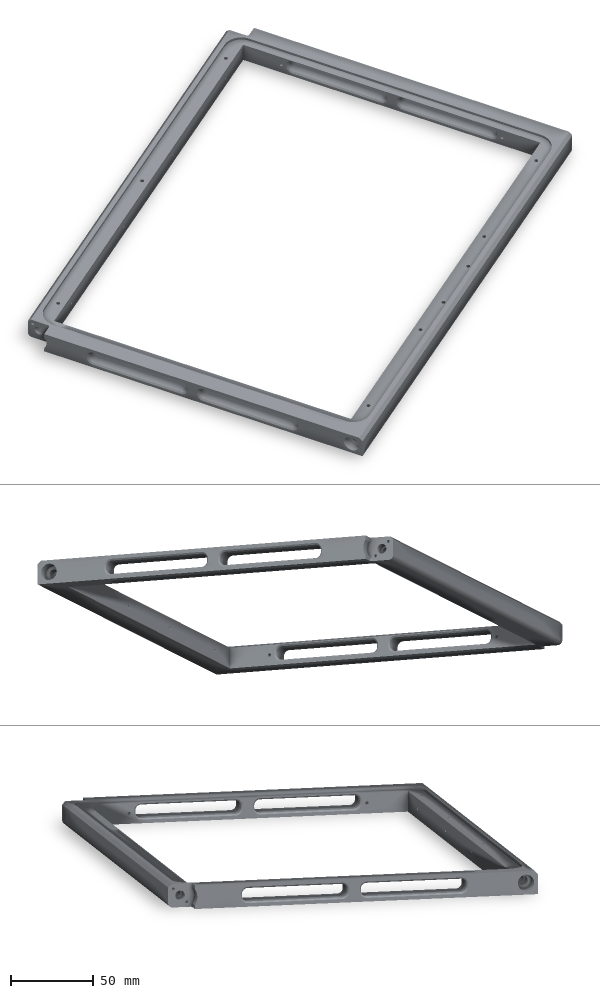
import cadquery as cq

FRAME_WIDTH = 229.0
FRAME_LENGTH = 297.0
FRAME_HEIGHT = 14.5
BAR_WIDTH = 14.5
UPPER_CHAMFER = 2.0
LOWER_FILLET = 3.0

HALF_WIDTH = FRAME_WIDTH / 2
HALF_LENGTH = FRAME_LENGTH / 2
HALF_HEIGHT = FRAME_HEIGHT / 2
SIDE_BAR_LENGTH = FRAME_LENGTH - 2 * BAR_WIDTH

RECESS_DEPTH = 1.8
RECESS_SIDE_MARGIN = 5.0
RECESS_END_MARGIN = 9.8
RECESS_CORNER_RADIUS = 11.3
RECESS_FLOOR_Z = HALF_HEIGHT - RECESS_DEPTH

SCREW_X = HALF_WIDTH - 7.5
CLEARANCE_DIAMETER = 6.0
COUNTERBORE_DIAMETER = 10.0
COUNTERBORE_DEPTH = 8.0
TAPPED_DIAMETER = 3.5
TAPPED_DEPTH = 14.8

NOTCH_LENGTH = 14.8
NOTCH_DEPTH = COUNTERBORE_DEPTH
NOTCH_CLEARANCE_RADIUS = 9.0
NOTCH_FILLET = 1.2
PIN_HOLE_DIAMETER = 1.8
PIN_HOLE_OFFSET = 4.2
PIN_HOLE_DEPTH = 3.0

SLOT_LENGTH = 66.0
SLOT_HEIGHT = 8.3
SLOT_CORNER_RADIUS = 3.5
SLOT_CHAMFER = 1.0
SLOT_CENTER_X = 37.0

TOP_HOLE_DEPTH = 9.0
TOP_HOLE_X = HALF_WIDTH - 10.0
TOP_HOLE_DIAMETER = 2.5
CORNER_HOLE_Y = 118.8
OUTER_PAIR_Y = 45.0
INNER_PAIR_Y = 17.5
INNER_PAIR_X = TOP_HOLE_X + 2.5

INNER_HOLE_DIAMETER = 2.0
INNER_HOLE_DEPTH = 3.0
INNER_HOLE_Z = -RECESS_DEPTH / 2
END_INNER_HOLE_X = 74.2
SIDE_INNER_HOLE_Y = (34.7, 109.0)


def cylinder(start, direction, diameter, depth):
    """Solid cylinder that starts at a point and runs along a direction."""
    solid = cq.Solid.makeCylinder(diameter / 2, depth, cq.Vector(*start), cq.Vector(*direction))
    return cq.Workplane(solid)


def recess():
    """Rounded rectangle, open at the top, that is cut from all four bars."""
    return (
        cq.Workplane("XY", origin=(0, 0, RECESS_FLOOR_Z))
        .rect(FRAME_WIDTH - 2 * RECESS_SIDE_MARGIN, FRAME_LENGTH - 2 * RECESS_END_MARGIN)
        .extrude(RECESS_DEPTH)
        .edges("|Z")
        .fillet(RECESS_CORNER_RADIUS)
    )


def end_notch():
    """Space cut from the outer half of the left end of the front end bar."""
    corner = (
        cq.Workplane("XY")
        .box(NOTCH_LENGTH, NOTCH_DEPTH, FRAME_HEIGHT, centered=(False, False, True))
        .translate((-HALF_WIDTH, -HALF_LENGTH, 0))
        .edges("|Z and >X and >Y")
        .fillet(NOTCH_FILLET)
    )
    screw_clearance = cylinder(
        (-SCREW_X, -HALF_LENGTH, 0), (0, 1, 0), 2 * NOTCH_CLEARANCE_RADIUS, NOTCH_DEPTH
    )
    return corner.union(screw_clearance)


def slot_layer(y, depth, growth, taper):
    """Rounded slot outline, larger by growth on all sides, extruded along Y with a taper."""
    outline = (
        cq.Sketch()
        .rect(SLOT_LENGTH + 2 * growth, SLOT_HEIGHT + 2 * growth)
        .vertices()
        .fillet(SLOT_CORNER_RADIUS + growth)
    )
    return cq.Workplane("XZ", origin=(0, y, 0)).placeSketch(outline).extrude(depth, taper=taper)


def slot():
    """Through slot of the front end bar with a 45 degree chamfer at each mouth."""
    outer_face = -HALF_LENGTH
    inner_face = outer_face + BAR_WIDTH
    opening = slot_layer(inner_face, BAR_WIDTH, 0, 0)
    outer_mouth = slot_layer(outer_face, -SLOT_CHAMFER, SLOT_CHAMFER, 45)
    inner_mouth = slot_layer(inner_face, SLOT_CHAMFER, SLOT_CHAMFER, 45)
    return opening.union(outer_mouth).union(inner_mouth)


def make_end_bar():
    """Front end bar; the back one is its mirror image."""
    outer_face = -HALF_LENGTH
    inner_face = outer_face + BAR_WIDTH
    bar = (
        cq.Workplane("XY")
        .box(FRAME_WIDTH, BAR_WIDTH, FRAME_HEIGHT)
        .translate((0, outer_face + BAR_WIDTH / 2, 0))
        .edges("|Y and >Z")
        .chamfer(UPPER_CHAMFER)
        .edges("|Y and <X and <Z")
        .fillet(LOWER_FILLET)
    )
    bar = bar.cut(end_notch()).cut(recess())

    for x in (-SCREW_X, SCREW_X):
        bar = bar.cut(cylinder((x, outer_face, 0), (0, 1, 0), CLEARANCE_DIAMETER, BAR_WIDTH))
    bar = bar.cut(cylinder((SCREW_X, outer_face, 0), (0, 1, 0), COUNTERBORE_DIAMETER, COUNTERBORE_DEPTH))

    for offset in (-PIN_HOLE_OFFSET, PIN_HOLE_OFFSET):
        pin_start = (-SCREW_X + offset, outer_face + NOTCH_DEPTH, -offset)
        bar = bar.cut(cylinder(pin_start, (0, 1, 0), PIN_HOLE_DIAMETER, PIN_HOLE_DEPTH))

    for side in (-1, 1):
        bar = bar.cut(slot().translate((side * SLOT_CENTER_X, 0, 0)))
        hole_start = (side * END_INNER_HOLE_X, inner_face, INNER_HOLE_Z)
        bar = bar.cut(cylinder(hole_start, (0, -1, 0), INNER_HOLE_DIAMETER, INNER_HOLE_DEPTH))
    return bar


def make_side_bar(side):
    """Side bar with the holes common to both; side is -1 for the left bar and 1 for the right."""
    inner_face = side * (HALF_WIDTH - BAR_WIDTH)
    outer_edge = ">X" if side > 0 else "<X"
    bar = (
        cq.Workplane("XY")
        .box(BAR_WIDTH, SIDE_BAR_LENGTH, FRAME_HEIGHT)
        .translate((side * (HALF_WIDTH - BAR_WIDTH / 2), 0, 0))
        .edges(f"|Y and >Z and {outer_edge}")
        .chamfer(UPPER_CHAMFER)
        .cut(recess())
    )
    for end in (-1, 1):
        tap_start = (side * SCREW_X, end * SIDE_BAR_LENGTH / 2, 0)
        bar = bar.cut(cylinder(tap_start, (0, -end, 0), TAPPED_DIAMETER, TAPPED_DEPTH))
        bar = bar.cut(top_hole(side * TOP_HOLE_X, end * CORNER_HOLE_Y))
        for y in SIDE_INNER_HOLE_Y:
            hole_start = (inner_face, end * y, INNER_HOLE_Z)
            bar = bar.cut(cylinder(hole_start, (side, 0, 0), INNER_HOLE_DIAMETER, INNER_HOLE_DEPTH))
    return bar


def top_hole(x, y):
    """Blind hole going down from the recess floor."""
    return cylinder((x, y, RECESS_FLOOR_Z), (0, 0, -1), TOP_HOLE_DIAMETER, TOP_HOLE_DEPTH)


def make_left_bar():
    """Left side bar: rounded lower outer edge and one hole at mid-length."""
    bar = make_side_bar(-1).edges("|Y and <X and <Z").fillet(LOWER_FILLET)
    return bar.cut(top_hole(-TOP_HOLE_X, 0))


def make_right_bar():
    """Right side bar: two pairs of holes about mid-length."""
    bar = make_side_bar(1)
    for end in (-1, 1):
        bar = bar.cut(top_hole(TOP_HOLE_X, end * OUTER_PAIR_Y))
        bar = bar.cut(top_hole(INNER_PAIR_X, end * INNER_PAIR_Y))
    return bar


front_end_bar = make_end_bar()
back_end_bar = front_end_bar.mirror("XZ")
left_bar = make_left_bar()
right_bar = make_right_bar()

result = cq.Compound.makeCompound(
    [front_end_bar.val(), back_end_bar.val(), left_bar.val(), right_bar.val()]
)